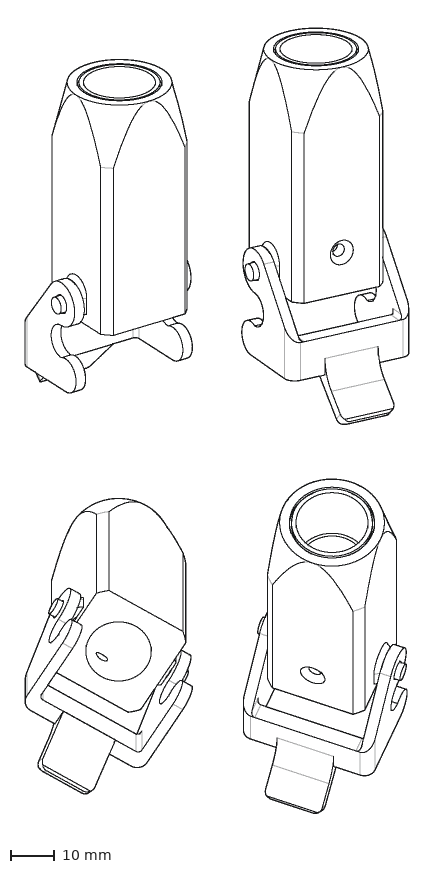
import cadquery as cq
import math


HOUSING_HEIGHT = 56.85
HOUSING_WIDTH = 24.0
FLAT_WIDTH = 19.8
CONE_HEIGHT = 14.4
BORE_DIAMETER = 15.0
MOUTH_DIAMETER = 16.5
MOUTH_DEPTH = 16.7
GROOVE_OUTER_DIAMETER = 19.5
GROOVE_INNER_DIAMETER = 18.6
GROOVE_DEPTH = 1.0
SCREW_HOLE_DIAMETER = 3.0
COUNTERSINK_DIAMETER = 6.0
SCREW_HOLE_Z = 10.6

PIVOT_Z = 4.85
PIN_DIAMETER = 4.0
PIN_SPAN = 35.0
BOSS_HEIGHT = 1.4
BOSS_RADIUS = 4.3
BOSS_TAPER = 1.0

LEVER_WIDTH = 32.3
ARM_THICKNESS = 2.7
PIVOT_HOLE_DIAMETER = 4.4
EYE_RADIUS = 5.4
NOTCH_RADIUS = 4.1
HOOK_RADIUS = 4.2
BRIDGE_X = -16.55
BRIDGE_THICKNESS = 3.8
BRIDGE_TOP_Z = -7.3
LEVER_BOTTOM_Z = -16.7
INNER_FILLET = 1.0
OUTER_FILLET = ARM_THICKNESS

TAB_ANGLE = math.radians(45)
TAB_WIDTH = 14.0
TAB_THICKNESS = 2.7
TAB_BEND_RADIUS = 10.0
TAB_END_X = -24.7
TAB_END_Z = -26.75
TAB_EDGE_CHAMFER = 0.6
TAB_CORNER_RADIUS = 2.0

half_width = HOUSING_WIDTH / 2
corner_radius = math.hypot(half_width, FLAT_WIDTH / 2)
boss_outer_y = half_width + BOSS_HEIGHT
arm_inner_y = LEVER_WIDTH / 2 - ARM_THICKNESS
bridge_inner_x = BRIDGE_X + BRIDGE_THICKNESS
sin_tab = math.sin(TAB_ANGLE)


def vertical_cylinder(diameter, bottom_z, top_z):
    return cq.Workplane("XY", origin=(0, 0, bottom_z)).circle(diameter / 2).extrude(top_z - bottom_z)


def housing_shell():
    """Square column whose corners are turned to a cylinder and, near the top, to a cone."""
    column = cq.Workplane("XY").rect(HOUSING_WIDTH, HOUSING_WIDTH).extrude(HOUSING_HEIGHT)
    envelope = (
        cq.Workplane("XZ")
        .moveTo(0, 0)
        .lineTo(corner_radius, 0)
        .lineTo(corner_radius, HOUSING_HEIGHT - CONE_HEIGHT)
        .lineTo(half_width, HOUSING_HEIGHT)
        .lineTo(0, HOUSING_HEIGHT)
        .close()
        .revolve(360, (0, 0, 0), (0, 1, 0))
    )
    return column.intersect(envelope)


def pivot():
    """Tapered boss and pin on the -Y side: a D-shaped boss, flat below and round above."""
    base_radius = BOSS_RADIUS
    top_radius = base_radius - BOSS_TAPER
    boss_bottom_z = PIVOT_Z - PIN_DIAMETER / 2
    round_center_z = PIVOT_Z + PIN_DIAMETER / 2

    dome = cq.Workplane(
        cq.Solid.makeCone(
            base_radius,
            top_radius,
            BOSS_HEIGHT,
            pnt=cq.Vector(0, -half_width, round_center_z),
            dir=cq.Vector(0, -1, 0),
        )
    )
    foot = (
        cq.Workplane("XY", origin=(0, 0, boss_bottom_z))
        .polyline([
            (-base_radius, -half_width),
            (base_radius, -half_width),
            (top_radius, -boss_outer_y),
            (-top_radius, -boss_outer_y),
        ])
        .close()
        .extrude(round_center_z - boss_bottom_z)
    )
    pin = (
        cq.Workplane("XZ", origin=(0, -half_width, PIVOT_Z))
        .circle(PIN_DIAMETER / 2)
        .extrude(PIN_SPAN / 2 - half_width)
    )
    return dome.union(foot).union(pin)


def screw_hole():
    """Countersunk hole through the -X wall into the bore."""
    countersink_depth = (COUNTERSINK_DIAMETER - SCREW_HOLE_DIAMETER) / 2
    mouth = cq.Vector(-half_width, 0, SCREW_HOLE_Z)
    inward = cq.Vector(1, 0, 0)
    hole = cq.Solid.makeCylinder(SCREW_HOLE_DIAMETER / 2, half_width, mouth, inward)
    countersink = cq.Solid.makeCone(
        COUNTERSINK_DIAMETER / 2, SCREW_HOLE_DIAMETER / 2, countersink_depth, mouth, inward
    )
    return cq.Workplane(hole.fuse(countersink))


def top_groove():
    bottom_z = HOUSING_HEIGHT - GROOVE_DEPTH
    outer = vertical_cylinder(GROOVE_OUTER_DIAMETER, bottom_z, HOUSING_HEIGHT)
    return outer.cut(vertical_cylinder(GROOVE_INNER_DIAMETER, bottom_z, HOUSING_HEIGHT))


def make_housing():
    front_pivot = pivot()
    return (
        housing_shell()
        .union(front_pivot)
        .union(front_pivot.mirror("XZ"))
        .cut(vertical_cylinder(BORE_DIAMETER, 0, HOUSING_HEIGHT))
        .cut(vertical_cylinder(MOUTH_DIAMETER, HOUSING_HEIGHT - MOUTH_DEPTH, HOUSING_HEIGHT))
        .cut(top_groove())
        .cut(screw_hole())
    )


def side_profile():
    """Lever side outline: sloped edge, round eye, notch and hook."""
    corner_dx = BRIDGE_X
    corner_dz = BRIDGE_TOP_Z - PIVOT_Z
    corner_angle = math.atan2(corner_dz, corner_dx)
    tangent_angle = corner_angle - math.acos(EYE_RADIUS / math.hypot(corner_dx, corner_dz))
    tangent_point = (
        EYE_RADIUS * math.cos(tangent_angle),
        PIVOT_Z + EYE_RADIUS * math.sin(tangent_angle),
    )

    eye_bottom_z = PIVOT_Z - EYE_RADIUS
    notch_z = eye_bottom_z - NOTCH_RADIUS
    notch_bottom_z = notch_z - NOTCH_RADIUS
    hook_z = LEVER_BOTTOM_Z + HOOK_RADIUS
    hook_x = math.sqrt(HOOK_RADIUS**2 - (notch_bottom_z - hook_z) ** 2)

    return (
        cq.Workplane("XZ", origin=(0, LEVER_WIDTH / 2, 0))
        .moveTo(BRIDGE_X, LEVER_BOTTOM_Z)
        .lineTo(BRIDGE_X, BRIDGE_TOP_Z)
        .lineTo(*tangent_point)
        .threePointArc((EYE_RADIUS, PIVOT_Z), (0, eye_bottom_z))
        .threePointArc((-NOTCH_RADIUS, notch_z), (0, notch_bottom_z))
        .threePointArc((hook_x + HOOK_RADIUS, hook_z), (hook_x, LEVER_BOTTOM_Z))
        .close()
        .extrude(LEVER_WIDTH)
    )


def lever_interior():
    """Space between the arms, in front of the bridge and above it, with rounded corners."""
    length = 2 * LEVER_WIDTH
    gap = 2 * arm_inner_y
    height = PIVOT_Z + EYE_RADIUS - LEVER_BOTTOM_Z
    in_front = (
        cq.Workplane("XY", origin=(bridge_inner_x, 0, LEVER_BOTTOM_Z))
        .box(length, gap, height, centered=(False, True, False))
        .edges("|Z and <X")
        .fillet(INNER_FILLET)
    )
    above = (
        cq.Workplane("XY", origin=(bridge_inner_x, 0, BRIDGE_TOP_Z))
        .box(length, gap, height, centered=(True, True, False))
        .edges("|X and <Z")
        .fillet(INNER_FILLET)
    )
    return in_front.union(above)


def tab_outline(end_x, end_z):
    """Round-cornered block square to the tab, its end face passing through (end_x, end_z)."""
    length = 2 * (BRIDGE_TOP_Z - TAB_END_Z)
    return (
        cq.Workplane("XY")
        .box(length, TAB_WIDTH, length, centered=(False, True, True))
        .edges("|Z and <X")
        .fillet(TAB_CORNER_RADIUS)
        .rotate((0, 0, 0), (0, 1, 0), -math.degrees(TAB_ANGLE))
        .translate((end_x, 0, end_z))
    )


def finger_tab():
    """45-degree tab blended into the outer face of the bridge by a bend."""
    chamfer_offset = TAB_EDGE_CHAMFER * sin_tab
    drop = TAB_THICKNESS * sin_tab
    end_x = TAB_END_X - chamfer_offset
    lower_end_z = TAB_END_Z - chamfer_offset
    upper_end_z = lower_end_z + drop
    lower_end_x = end_x + drop

    bend_corner_z = upper_end_z + BRIDGE_X - end_x
    tangent_length = TAB_BEND_RADIUS * math.tan(TAB_ANGLE / 2)
    bend_start = (BRIDGE_X - tangent_length * sin_tab, bend_corner_z - tangent_length * sin_tab)
    bend_end = (BRIDGE_X, bend_corner_z + tangent_length)
    root_x = lower_end_x + LEVER_BOTTOM_Z - lower_end_z

    tab = (
        cq.Workplane("XZ", origin=(0, TAB_WIDTH / 2, 0))
        .moveTo(lower_end_x + chamfer_offset, TAB_END_Z)
        .lineTo(lower_end_x - chamfer_offset, TAB_END_Z)
        .lineTo(TAB_END_X, upper_end_z - chamfer_offset)
        .lineTo(TAB_END_X, upper_end_z + chamfer_offset)
        .lineTo(*bend_start)
        .tangentArcPoint(bend_end, relative=False)
        .lineTo(bridge_inner_x, bend_end[1])
        .lineTo(bridge_inner_x, LEVER_BOTTOM_Z)
        .lineTo(root_x, LEVER_BOTTOM_Z)
        .close()
        .extrude(TAB_WIDTH)
    )
    return tab.intersect(tab_outline(lower_end_x, lower_end_z))


def make_lever():
    pivot_holes = (
        cq.Workplane("XZ", origin=(0, LEVER_WIDTH / 2, PIVOT_Z))
        .circle(PIVOT_HOLE_DIAMETER / 2)
        .extrude(LEVER_WIDTH)
    )
    return (
        side_profile()
        .edges("|Z and <X")
        .fillet(OUTER_FILLET)
        .cut(lever_interior())
        .cut(pivot_holes)
        .union(finger_tab())
    )


housing = make_housing()
lever = make_lever()

result = cq.Compound.makeCompound([housing.solids().val(), lever.solids().val()])